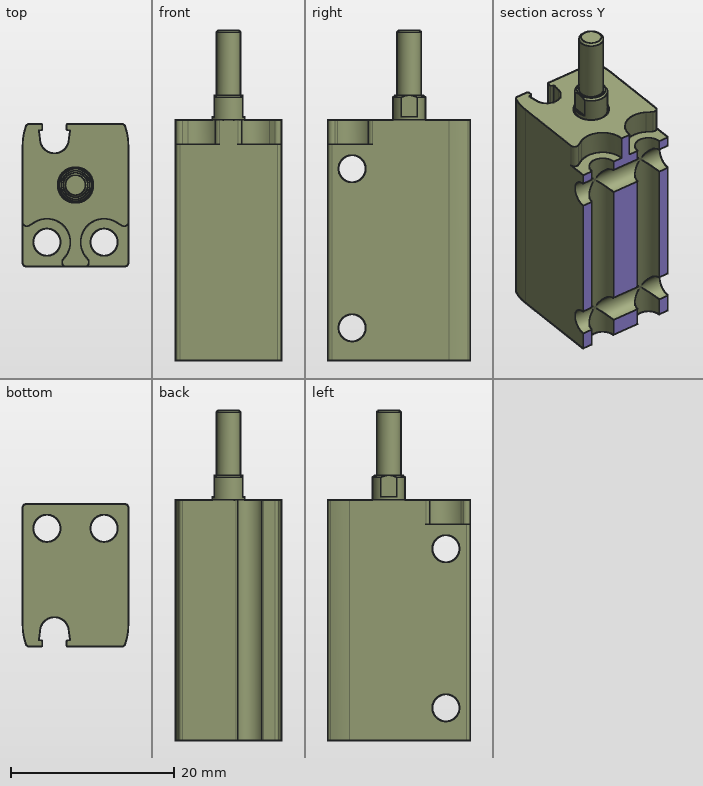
import cadquery as cq
import math


housing_width = 13.0
housing_depth = 17.5
housing_height = 29.5
front_y = -10.0
back_y = front_y + housing_depth
side_x = housing_width / 2
front_edge_radius = 0.5
back_edge_radius = 0.45
side_curve_radius = 7.0
side_curve_length = 2.65

mount_hole_diameter = 3.3
mount_hole_wall = 3.0
mount_x = side_x - mount_hole_wall
mount_y = front_y + mount_hole_wall
cross_hole_heights = (4.0, 23.5)
pocket_depth = 3.0
pocket_radius = 2.87
pocket_lip_radius = 0.54
front_lip_angle = 40.0
side_lip_angle = 31.0

slot_x = -2.58
slot_radius = 1.75
slot_depth = 3.6
slot_mouth_half_width = 1.47
slot_wall_half_width = 1.9
slot_lip_thickness = 0.8
slot_lip_radius = 0.2

rod_diameter = 4.0
rod_top = 32.5
rod_insertion = 10.0
rod_chamfer = 0.25
flat_width = 3.5
flat_bottom = housing_height + 0.35
stud_diameter = 3.0
stud_tip_diameter = 2.46
stud_top = 40.5
stud_chamfer = (stud_diameter - stud_tip_diameter) / 2
bore_chamfer = 0.2


def make_block():
    """Block with inward curving sides at the back and rounded upright edges."""
    curve_start_y = back_y - side_curve_length

    def curved_side_x(distance):
        return side_x - side_curve_radius + math.sqrt(side_curve_radius**2 - distance**2)

    back_x = curved_side_x(side_curve_length)
    middle_x = curved_side_x(side_curve_length / 2)
    middle_y = curve_start_y + side_curve_length / 2
    block = (
        cq.Workplane("XY")
        .moveTo(-side_x, front_y)
        .lineTo(side_x, front_y)
        .lineTo(side_x, curve_start_y)
        .threePointArc((middle_x, middle_y), (back_x, back_y))
        .lineTo(-back_x, back_y)
        .threePointArc((-middle_x, middle_y), (-side_x, curve_start_y))
        .close()
        .extrude(housing_height)
    )
    block = block.faces("<Y").edges("|Z").fillet(front_edge_radius)
    return block.faces(">Y").edges("|Z").fillet(back_edge_radius)


def pocket_lip(angle_degrees):
    """Points from the pocket arc to an outer face.

    Each is (along the face, toward the face), measured from the hole axis.
    The arc runs into a tangent line, and a rounded lip joins that line to the face.
    """
    sine = math.sin(math.radians(angle_degrees))
    cosine = math.cos(math.radians(angle_degrees))
    lip_center_toward = mount_hole_wall - pocket_lip_radius
    line_length = (lip_center_toward - (pocket_radius + pocket_lip_radius) * sine) / cosine
    lip_center_along = (pocket_radius + pocket_lip_radius) * cosine - line_length * sine
    arc_end = (pocket_radius * cosine, pocket_radius * sine)
    line_end = (arc_end[0] - line_length * sine, arc_end[1] + line_length * cosine)
    middle_size = math.hypot(cosine, 1 - sine)
    lip_middle = (
        lip_center_along - pocket_lip_radius * cosine / middle_size,
        lip_center_toward + pocket_lip_radius * (1 - sine) / middle_size,
    )
    lip_end = (lip_center_along, mount_hole_wall)
    return arc_end, line_end, lip_middle, lip_end


def make_pocket():
    """Corner pocket around the upright mounting hole at -X."""
    front = [(along - mount_x, mount_y - toward) for along, toward in pocket_lip(front_lip_angle)]
    side = [(-mount_x - toward, mount_y + along) for along, toward in pocket_lip(side_lip_angle)]
    front_arc_end, front_line_end, front_lip_middle, front_lip_end = front
    side_arc_end, side_line_end, side_lip_middle, side_lip_end = side
    diagonal = pocket_radius * math.sqrt(0.5)
    return (
        cq.Workplane("XY")
        .workplane(offset=housing_height - pocket_depth)
        .moveTo(*front_lip_end)
        .threePointArc(front_lip_middle, front_line_end)
        .lineTo(*front_arc_end)
        .threePointArc((diagonal - mount_x, mount_y + diagonal), side_arc_end)
        .lineTo(*side_line_end)
        .threePointArc(side_lip_middle, side_lip_end)
        .lineTo(-side_x, front_y)
        .close()
        .extrude(pocket_depth)
    )


def make_slot():
    """Sensor slot with a round floor, slightly flared walls and a lip on each side of its mouth."""
    lip_bottom_y = back_y - slot_lip_thickness
    floor_center_y = back_y - slot_depth + slot_radius
    channel = (
        cq.Workplane("XY")
        .moveTo(slot_x - slot_wall_half_width, lip_bottom_y)
        .lineTo(slot_x - slot_radius, floor_center_y)
        .threePointArc((slot_x, back_y - slot_depth), (slot_x + slot_radius, floor_center_y))
        .lineTo(slot_x + slot_wall_half_width, lip_bottom_y)
        .close()
        .extrude(housing_height)
    )
    mouth = (
        cq.Workplane("XY")
        .moveTo(slot_x, back_y - slot_lip_thickness / 2)
        .rect(2 * slot_mouth_half_width, slot_lip_thickness)
        .extrude(housing_height)
    )
    return channel.union(mouth)


def make_bore_countersink():
    """Cone that breaks the rim of the rod bore."""
    rim = cq.Workplane("XY").workplane(offset=housing_height)
    rim = rim.circle(rod_diameter / 2 + bore_chamfer)
    return rim.workplane(offset=-bore_chamfer).circle(rod_diameter / 2).loft(ruled=True)


def make_housing():
    """Housing with its sensor slot, mounting holes, pockets and the blind bore of the rod."""
    housing = make_block().cut(make_slot())
    margin = slot_lip_radius
    lip_edges = cq.selectors.BoxSelector(
        (slot_x - slot_mouth_half_width - margin, back_y - slot_lip_thickness - margin, 0),
        (slot_x + slot_mouth_half_width + margin, back_y + margin, housing_height),
    )
    housing = housing.edges("|Z").edges(lip_edges).fillet(slot_lip_radius)

    pocket = make_pocket()
    housing = housing.cut(pocket).cut(pocket.mirror("YZ"))

    for x in (-mount_x, mount_x):
        upright_hole = cq.Workplane("XY").center(x, mount_y).circle(mount_hole_diameter / 2)
        housing = housing.cut(upright_hole.extrude(housing_height))
    for z in cross_hole_heights:
        cross_hole = cq.Workplane("YZ").center(mount_y, z).circle(mount_hole_diameter / 2)
        housing = housing.cut(cross_hole.extrude(side_x, both=True))

    bore = cq.Workplane("XY").workplane(offset=housing_height - rod_insertion)
    housing = housing.cut(bore.circle(rod_diameter / 2).extrude(rod_insertion))
    return housing.cut(make_bore_countersink())


def make_rod():
    """Piston rod with two wrench flats and a chamfered stud."""
    rod_bottom = housing_height - rod_insertion
    shank = (
        cq.Workplane("XY")
        .workplane(offset=rod_bottom)
        .circle(rod_diameter / 2)
        .extrude(rod_top - rod_bottom)
        .faces(">Z")
        .chamfer(rod_chamfer)
    )
    flat_height = rod_top - flat_bottom
    flat_cutter = (
        cq.Workplane("XY")
        .workplane(offset=flat_bottom)
        .rect(2 * rod_diameter, 2 * rod_diameter)
        .rect(flat_width, 2 * rod_diameter)
        .extrude(flat_height)
    )
    stud = (
        cq.Workplane("XY")
        .workplane(offset=rod_top)
        .circle(stud_diameter / 2)
        .extrude(stud_top - rod_top)
        .faces(">Z")
        .chamfer(stud_chamfer)
    )
    return shank.cut(flat_cutter).union(stud)


housing = make_housing()
rod = make_rod()

result = cq.Compound.makeCompound([housing.solids().val(), rod.solids().val()])